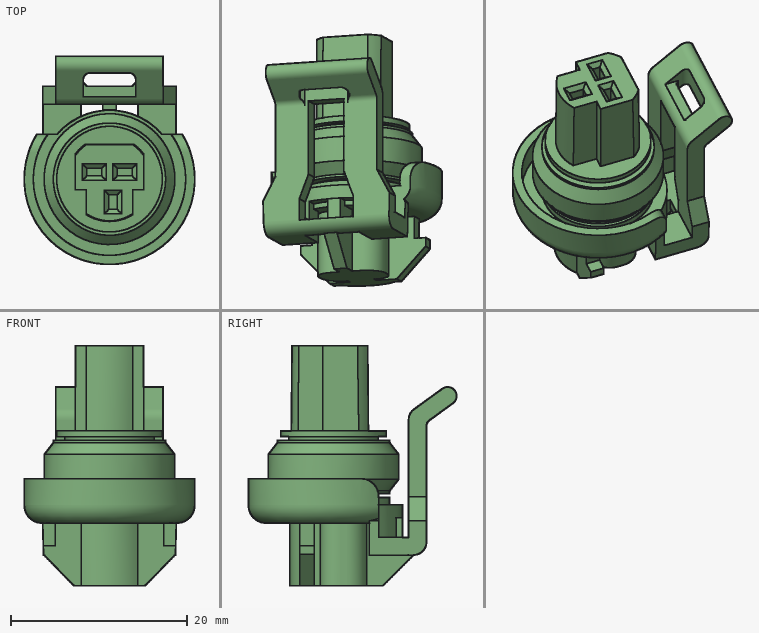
import cadquery as cq
import math

TOTAL_HEIGHT = 27.25
TOTAL_DEPTH = 23.67
SHROUD_BOTTOM = 7.1
FLOOR_TOP = 9.22
COLLAR_TOP = 10.04
SHROUD_TOP = 12.17
FLANGE_BOTTOM = 16.94
FLANGE_TOP = 17.58

NECK_RADIUS = 5.1
COLLAR_RADIUS = 12.75 / 2
FLANGE_RADIUS = 12 / 2
SEAL_RADIUS = 14.85 / 2
SEAL_BOTTOM = 10.47
SEAL_TOP = 16.54
SEAL_LIP = 0.29
SEAL_BEVEL_HEIGHT = 1.35

SHROUD_RADIUS = 19.39 / 2
SHROUD_INNER_RADIUS = 8.65
SHROUD_BACK_Y = 5.12
SHROUD_ROUND = 2.05
DISC_RADIUS = 7.83

PLUG_HALF_WIDTH = 3.87
PLUG_BACK_Y = 3.97
PLUG_STEP_Y = -1.2
PLUG_TONGUE_HALF_WIDTH = 2.62
PLUG_RADIUS = 4.81
PLUG_DRAFT = 0.08

TERMINALS = [
    (-1.73, 0.79, 2.7, 1.88),
    (1.73, 0.79, 2.7, 1.88),
    (0.4, -2.61, 1.98, 2.68),
]
TERMINAL_BEVEL = 0.51
TERMINAL_BEVEL_DEPTH = 0.5
TERMINAL_DEPTH = 5.0

BODY_HALF_WIDTH = 4.0
BODY_BACK_Y = 3.77
BODY_FRONT_Y = -1.5
BODY_CORNER = 2.25
LOBE_HALF_WIDTH = 3.2
LOBE_RADIUS = 5.0
WEB_HALF_WIDTH = 1.6
WING_BACK_Y = -2.22
WING_FRONT_Y = -3.83
WING_HALF_WIDTH = 7.5
WING_BOTTOM_HALF_WIDTH = 4.05
WING_NOTCH_HALF_WIDTH = 6.17
WING_BEVEL_TOP = 3.55
WING_NOTCH_FLOOR = 4.57

ARM_THICKNESS = 2.06
ARM_BACK_Y = 10.56
ARM_INNER_Y = ARM_BACK_Y - ARM_THICKNESS
ARM_BOTTOM = 3.48
ARM_TIP_RADIUS = ARM_THICKNESS / 2
ARM_TIP_Y = TOTAL_DEPTH - SHROUD_RADIUS - ARM_TIP_RADIUS
ARM_TIP_Z = 21.54
ARM_TILT = math.radians(36)
ARM_INNER_BEND = 1.5
ARM_OUTER_BEND = 0.8
ARM_HEEL_ROUND = 1.5
ARM_HALF_WIDTH = 6.1
ARM_BASE_HALF_WIDTH = 7.6
ARM_TAPER_BOTTOM = 7.36
ARM_TAPER_TOP = 10.13
FOOT_TOP = 5.5
FOOT_HALF_WIDTH = 7.5
FOOT_FRONT_Y = 4.06
WINDOW_HALF_WIDTH = 2.13
WINDOW_BASE_HALF_WIDTH = 3.23
WINDOW_TOP = 18.6
CROSSBAR_TOP = 4.9

SLOT_HALF_WIDTH = 2.97
SLOT_BACK_Y = 12.04
SLOT_ROUND = 0.75
SLOT_BEVEL = 0.4
SLOT_LEDGE_Y = 9.3
SLOT_LEDGE_Z = 20.2

RIB_HALF_WIDTH = 0.77
RIB_TOP = 7.7
RIB_DISC_Y = 7.85
RIB_TOE_Y = 5.6
RIB_HEEL_Y = RIB_TOE_Y + ARM_BOTTOM


def box(x_min, x_max, y_min, y_max, z_min, z_max):
    """Box given by its limits along each axis."""
    solid = cq.Workplane("XY").box(x_max - x_min, y_max - y_min, z_max - z_min, centered=False)
    return solid.translate((x_min, y_min, z_min))


def cylinder(radius, z_min, z_max):
    """Cylinder on the seal axis."""
    return cq.Workplane("XY").workplane(offset=z_min).circle(radius).extrude(z_max - z_min)


def side_prism(points, half_width):
    """Prism along X from an outline of (Y, Z) points, centred on X = 0."""
    return cq.Workplane("YZ").polyline(points).close().extrude(half_width, both=True)


def front_prism(points, y_min, y_max):
    """Prism along Y from an outline of (X, Z) points."""
    sketch = cq.Workplane("XZ", origin=(0, y_max, 0)).polyline(points).close()
    return sketch.extrude(y_max - y_min)


def mirrored_outline(right_side):
    """Close an outline whose right half is listed from bottom to top."""
    return right_side + [(-x, z) for x, z in reversed(right_side)]


def make_seal_stack():
    """Neck, collar, double-bevelled seal and flange on one axis."""
    lip_bottom = SEAL_BOTTOM + SEAL_LIP
    lip_top = SEAL_TOP - SEAL_LIP
    seal = (
        cq.Workplane("XZ")
        .moveTo(0, SEAL_BOTTOM)
        .lineTo(COLLAR_RADIUS, SEAL_BOTTOM)
        .lineTo(COLLAR_RADIUS, lip_bottom)
        .lineTo(SEAL_RADIUS, lip_bottom + SEAL_BEVEL_HEIGHT)
        .lineTo(SEAL_RADIUS, lip_top - SEAL_BEVEL_HEIGHT)
        .lineTo(COLLAR_RADIUS, lip_top)
        .lineTo(COLLAR_RADIUS, SEAL_TOP)
        .lineTo(0, SEAL_TOP)
        .close()
        .revolve(360, (0, 0, 0), (0, 1, 0))
    )
    neck = cylinder(NECK_RADIUS, SHROUD_BOTTOM, FLANGE_TOP)
    collar = cylinder(COLLAR_RADIUS, SHROUD_BOTTOM, COLLAR_TOP)
    flange = cylinder(FLANGE_RADIUS, FLANGE_BOTTOM, FLANGE_TOP)
    return neck.union(collar).union(seal).union(flange)


def make_shroud():
    """Cup with a rounded bottom rim, cut off flat at the back with rounded upper corners."""
    cup = cylinder(SHROUD_RADIUS, SHROUD_BOTTOM, SHROUD_TOP).faces("<Z").edges().fillet(SHROUD_ROUND)
    cup = cup.cut(cylinder(SHROUD_INNER_RADIUS, FLOOR_TOP, SHROUD_TOP))
    keep = box(-SHROUD_RADIUS, SHROUD_RADIUS, -SHROUD_RADIUS, SHROUD_BACK_Y, SHROUD_BOTTOM, SHROUD_TOP)
    keep = keep.edges(">Y and >Z").fillet(SHROUD_ROUND)
    return cup.intersect(keep)


def plug_section(z, shrink):
    """Keyed plug section at a height; the nose and the back corners lie on one circle."""
    radius = PLUG_RADIUS - shrink
    back = PLUG_BACK_Y - shrink
    nose_y = -math.sqrt(radius**2 - PLUG_TONGUE_HALF_WIDTH**2)
    corner_x = math.sqrt(radius**2 - back**2)
    corner_y = math.sqrt(radius**2 - PLUG_HALF_WIDTH**2)
    corner_angle = (math.atan2(back, corner_x) + math.atan2(corner_y, PLUG_HALF_WIDTH)) / 2
    middle_x = radius * math.cos(corner_angle)
    middle_y = radius * math.sin(corner_angle)
    return (
        cq.Workplane("XY", origin=(0, 0, z))
        .moveTo(-PLUG_TONGUE_HALF_WIDTH, nose_y)
        .threePointArc((0, -radius), (PLUG_TONGUE_HALF_WIDTH, nose_y))
        .lineTo(PLUG_TONGUE_HALF_WIDTH, PLUG_STEP_Y)
        .lineTo(PLUG_HALF_WIDTH, PLUG_STEP_Y)
        .lineTo(PLUG_HALF_WIDTH, corner_y)
        .threePointArc((middle_x, middle_y), (corner_x, back))
        .lineTo(-corner_x, back)
        .threePointArc((-middle_x, middle_y), (-PLUG_HALF_WIDTH, corner_y))
        .lineTo(-PLUG_HALF_WIDTH, PLUG_STEP_Y)
        .lineTo(-PLUG_TONGUE_HALF_WIDTH, PLUG_STEP_Y)
        .close()
        .wire()
        .val()
    )


def make_plug():
    """Keyed plug, slightly slimmer front to back at its top."""
    bottom = plug_section(FLANGE_TOP, 0)
    top = plug_section(TOTAL_HEIGHT, PLUG_DRAFT)
    return cq.Workplane(cq.Solid.makeLoft([bottom, top], True))


def make_terminal_opening(x, y, size_x, size_y):
    """Blind rectangular cavity with a bevelled mouth."""
    mouth = (
        cq.Workplane("XY", origin=(x, y, TOTAL_HEIGHT))
        .rect(size_x, size_y)
        .workplane(offset=-TERMINAL_BEVEL_DEPTH)
        .rect(size_x - 2 * TERMINAL_BEVEL, size_y - 2 * TERMINAL_BEVEL)
        .loft(ruled=True)
    )
    cavity = (
        cq.Workplane("XY", origin=(x, y, TOTAL_HEIGHT))
        .rect(size_x - 2 * TERMINAL_BEVEL, size_y - 2 * TERMINAL_BEVEL)
        .extrude(-TERMINAL_DEPTH)
    )
    return mouth.union(cavity)


def make_lower_body():
    """Rounded terminal body with a curved front lobe and two side wings."""
    core = box(-BODY_HALF_WIDTH, BODY_HALF_WIDTH, BODY_FRONT_Y, BODY_BACK_Y, 0, FLOOR_TOP)
    core = core.edges("|Z").fillet(BODY_CORNER)
    lobe = cylinder(LOBE_RADIUS, 0, FLOOR_TOP)
    lobe = lobe.intersect(
        box(-LOBE_HALF_WIDTH, LOBE_HALF_WIDTH, -LOBE_RADIUS, WING_BACK_Y, 0, FLOOR_TOP)
    )
    web = box(-WEB_HALF_WIDTH, WEB_HALF_WIDTH, WING_BACK_Y, BODY_BACK_Y, 0, FLOOR_TOP)
    wings = front_prism(
        mirrored_outline([
            (WING_BOTTOM_HALF_WIDTH, 0),
            (WING_HALF_WIDTH, WING_BEVEL_TOP),
            (WING_HALF_WIDTH, WING_NOTCH_FLOOR),
            (WING_NOTCH_HALF_WIDTH, WING_NOTCH_FLOOR),
            (WING_NOTCH_HALF_WIDTH, FLOOR_TOP),
        ]),
        WING_FRONT_Y,
        WING_BACK_Y,
    )
    return core.union(web).union(lobe).union(wings)


def make_arm_blank():
    """Upright latch arm with a tilted, rounded tip, running forward into the foot and up into the shroud."""
    slope = math.tan(ARM_TILT)
    offset_y = ARM_TIP_RADIUS * math.sin(ARM_TILT)
    offset_z = ARM_TIP_RADIUS * math.cos(ARM_TILT)
    upper_tip = (ARM_TIP_Y - offset_y, ARM_TIP_Z + offset_z)
    lower_tip = (ARM_TIP_Y + offset_y, ARM_TIP_Z - offset_z)
    inner_corner_z = upper_tip[1] - (upper_tip[0] - ARM_INNER_Y) * slope
    outer_corner_z = lower_tip[1] - (lower_tip[0] - ARM_BACK_Y) * slope
    blank = side_prism(
        [
            (FOOT_FRONT_Y, ARM_BOTTOM),
            (ARM_BACK_Y, ARM_BOTTOM),
            (ARM_BACK_Y, outer_corner_z),
            lower_tip,
            upper_tip,
            (ARM_INNER_Y, inner_corner_z),
            (ARM_INNER_Y, FOOT_TOP),
            (SHROUD_BACK_Y, FOOT_TOP),
            (SHROUD_BACK_Y, FLOOR_TOP),
            (FOOT_FRONT_Y, FLOOR_TOP),
        ],
        ARM_BASE_HALF_WIDTH,
    )

    def round_edge(solid, y, z, radius):
        return solid.edges(cq.NearestToPointSelector((0, y, z))).fillet(radius)

    blank = round_edge(blank, ARM_BACK_Y, ARM_BOTTOM, ARM_HEEL_ROUND)
    blank = round_edge(blank, ARM_BACK_Y, outer_corner_z, ARM_OUTER_BEND)
    blank = round_edge(blank, ARM_INNER_Y, inner_corner_z, ARM_INNER_BEND)
    tip = (
        cq.Workplane("YZ")
        .center(ARM_TIP_Y, ARM_TIP_Z)
        .circle(ARM_TIP_RADIUS)
        .extrude(ARM_BASE_HALF_WIDTH, both=True)
    )
    return blank.union(tip)


def make_slot():
    """Vertical slot behind the arm's upright, with a shallow ledge in front of it."""
    bevel_x = SLOT_HALF_WIDTH - SLOT_BEVEL
    depth = TOTAL_HEIGHT - ARM_TAPER_TOP
    slot = (
        cq.Workplane("XY", origin=(0, 0, ARM_TAPER_TOP))
        .moveTo(-bevel_x, ARM_BACK_Y)
        .lineTo(bevel_x, ARM_BACK_Y)
        .lineTo(SLOT_HALF_WIDTH, ARM_BACK_Y + SLOT_BEVEL)
        .lineTo(SLOT_HALF_WIDTH, SLOT_BACK_Y)
        .lineTo(-SLOT_HALF_WIDTH, SLOT_BACK_Y)
        .lineTo(-SLOT_HALF_WIDTH, ARM_BACK_Y + SLOT_BEVEL)
        .close()
        .extrude(depth)
        .edges("|Z and >Y")
        .fillet(SLOT_ROUND)
    )
    ledge_back = ARM_BACK_Y + SLOT_BEVEL
    ledge = box(-SLOT_HALF_WIDTH, SLOT_HALF_WIDTH, SLOT_LEDGE_Y, ledge_back, SLOT_LEDGE_Z, TOTAL_HEIGHT)
    return slot.union(ledge)


def make_latch():
    """Latch arm trimmed to its tapered width, with the window and the slot cut out."""
    width_outline = mirrored_outline([
        (FOOT_HALF_WIDTH, ARM_BOTTOM),
        (ARM_BASE_HALF_WIDTH, ARM_TAPER_BOTTOM),
        (ARM_HALF_WIDTH, ARM_TAPER_TOP),
        (ARM_HALF_WIDTH, TOTAL_HEIGHT),
    ])
    window_outline = mirrored_outline([
        (WINDOW_BASE_HALF_WIDTH, CROSSBAR_TOP),
        (WINDOW_BASE_HALF_WIDTH, ARM_TAPER_BOTTOM),
        (WINDOW_HALF_WIDTH, ARM_TAPER_TOP),
        (WINDOW_HALF_WIDTH, WINDOW_TOP),
    ])
    latch = make_arm_blank().intersect(front_prism(width_outline, 0, 2 * ARM_BACK_Y))
    latch = latch.cut(front_prism(window_outline, ARM_INNER_Y, ARM_BACK_Y))
    gap = box(-WINDOW_BASE_HALF_WIDTH, WINDOW_BASE_HALF_WIDTH, 0, ARM_INNER_Y, ARM_BOTTOM, RIB_TOP)
    return latch.cut(gap).cut(make_slot())


def make_disc_back():
    """Back of the floor disc, reaching down to the latch feet on each side of a central pocket."""
    disc = cylinder(DISC_RADIUS, ARM_BOTTOM, FLOOR_TOP)
    disc = disc.intersect(box(-DISC_RADIUS, DISC_RADIUS, FOOT_FRONT_Y, DISC_RADIUS, ARM_BOTTOM, FLOOR_TOP))
    pocket = box(
        -WINDOW_BASE_HALF_WIDTH, WINDOW_BASE_HALF_WIDTH, FOOT_FRONT_Y, DISC_RADIUS, ARM_BOTTOM, RIB_TOP
    )
    return disc.cut(pocket)


def make_rib():
    """Central rib from the body to the latch heel, with a 45 degree underside."""
    outline = [
        (0, 0),
        (RIB_TOE_Y, 0),
        (RIB_HEEL_Y, ARM_BOTTOM),
        (RIB_HEEL_Y, CROSSBAR_TOP),
        (RIB_DISC_Y, CROSSBAR_TOP),
        (RIB_DISC_Y, RIB_TOP),
        (0, RIB_TOP),
    ]
    return side_prism(outline, RIB_HALF_WIDTH)


result = make_seal_stack().union(make_shroud()).union(make_plug())
result = result.union(make_lower_body()).union(make_disc_back())
result = result.union(make_latch()).union(make_rib())
for terminal in TERMINALS:
    result = result.cut(make_terminal_opening(*terminal))